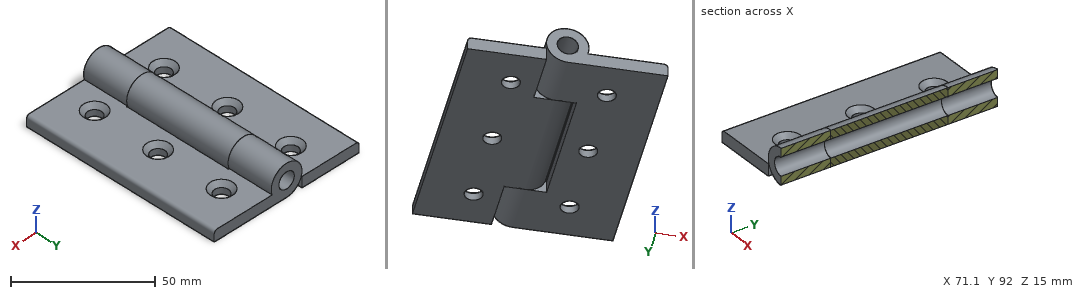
import cadquery as cq
import math

length = 91.95
width = 71.1
leaf_thickness = 5.1

knuckle_radius = 7.5
bore_diameter = 7.5
middle_knuckle_length = 49.65
end_knuckle_length = (length - middle_knuckle_length) / 2

edge_radius = 1.6

hole_diameter = 6.5
countersink_diameter = 10.7
countersink_angle = 90.0
hole_offset = 17.0
hole_pitch = 31.1
holes_per_leaf = 3

end_knuckle_center = (length - end_knuckle_length) / 2
end_knuckles = [
    (-end_knuckle_center, end_knuckle_length),
    (end_knuckle_center, end_knuckle_length),
]
middle_knuckles = [(0, middle_knuckle_length)]


def extrude_along_y(profile, center, extent):
    """Extrude an XZ profile along Y, centred on the given Y position."""
    return profile.extrude(extent / 2, both=True).translate((0, center, 0))


def make_plate():
    """Flat plate on the +X side, ending level with the side of the knuckles."""
    plate_width = width / 2 - knuckle_radius
    plate = cq.Workplane("XY").box(
        plate_width, length, leaf_thickness, centered=(False, True, False)
    ).translate((knuckle_radius, 0, 0))
    return plate.edges(">X and >Z").fillet(edge_radius)


def make_knuckle(center, extent):
    """Bored barrel with a web that runs tangent from its underside to the plate."""
    barrel = cq.Workplane("XZ").center(0, knuckle_radius).circle(knuckle_radius)
    web = cq.Workplane("XZ").rect(knuckle_radius, leaf_thickness, centered=False)
    bore = cq.Workplane("XZ").center(0, knuckle_radius).circle(bore_diameter / 2)
    knuckle = extrude_along_y(barrel, center, extent).union(extrude_along_y(web, center, extent))
    return knuckle.cut(extrude_along_y(bore, center, extent))


def cut_screw_holes(leaf):
    """Row of countersunk holes through the plate."""
    middle_index = (holes_per_leaf - 1) / 2
    centers = [(hole_offset, (i - middle_index) * hole_pitch) for i in range(holes_per_leaf)]
    return (
        leaf.cut(
            cq.Workplane("XY").pushPoints(centers).circle(hole_diameter / 2).extrude(leaf_thickness)
        ).cut(make_countersinks(centers))
    )


def make_countersinks(centers):
    """Cones that open the holes to the countersink diameter at the top face."""
    cone_depth = countersink_diameter / 2 / math.tan(math.radians(countersink_angle / 2))
    cone = cq.Solid.makeCone(
        countersink_diameter / 2, 0, cone_depth, cq.Vector(0, 0, leaf_thickness), cq.Vector(0, 0, -1)
    )
    return cq.Workplane("XY").pushPoints(centers).eachpoint(lambda place: cone.moved(place))


def make_leaf(knuckles):
    """One leaf on the +X side, carrying the listed knuckles."""
    leaf = make_plate()
    for center, extent in knuckles:
        leaf = leaf.union(make_knuckle(center, extent))
    return cut_screw_holes(leaf)


end_knuckle_leaf = make_leaf(end_knuckles)
middle_knuckle_leaf = make_leaf(middle_knuckles).mirror("YZ")

result = cq.Compound.makeCompound([end_knuckle_leaf.val(), middle_knuckle_leaf.val()])